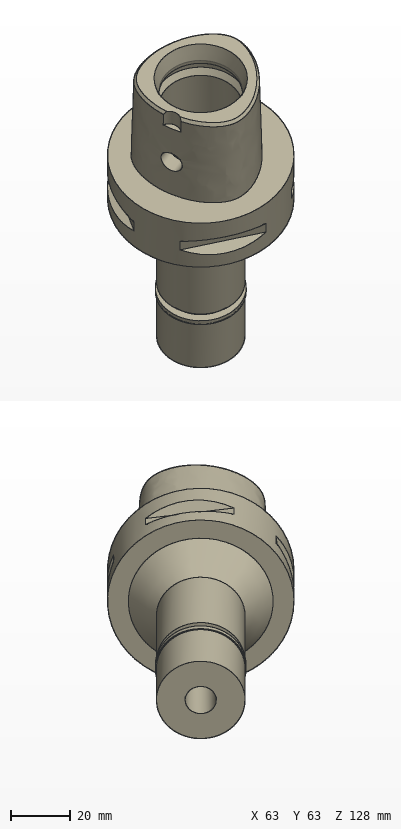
import cadquery as cq
import math

nut_body_top = 21.9
nut_top = 23.8
neck_top = 26.8
barrel_top = 58.1
flange_bottom = 68.1
flange_top = 90.0
shank_top = 128.0
chamfer_height = 1.2

nut_radius = 15.0
nut_collar_radius = 15.4
neck_radius = 12.5
barrel_radius = 15.0
cone_top_radius = 24.5
flange_radius = 31.5

shank_base_radius = 22.1
shank_shoulder_radius = 21.2
shank_rim_radius = 20.4
lobe_height = 1.4
outline_steps = 24

mouth_radius = 15.7
bore_radius = 14.1
mouth_depth = 6.4
lip_end_depth = 7.8
undercut_radius = 15.7
undercut_end_depth = 11.5
undercut_run_out_depth = 13.8
bore_depth = 41.0

collet_passage_radius = 9.1
nut_hole_radius = 5.2

keyway_radius = 4.1
keyway_wall_y = -17.9
keyway_depth = 6.3
cross_hole_radius = 4.1
cross_hole_z = 105.6
cross_hole_end_y = -14.6

groove_count = 4
groove_first_angle = 45.0
groove_z = 78.0
groove_floor_distance = 27.6
groove_floor_height = 4.2
groove_flank_angle = 27.0


def revolve_profile(points):
    """Solid of revolution about Z from (radius, height) points."""
    return cq.Workplane("XZ").polyline(points).close().revolve(360, (0, 0, 0), (0, 1, 0))


def lobed_point(mean_radius, angle, z):
    """Point on a three-lobed curve of constant width, with angle 0 facing -Y."""
    x = mean_radius * math.sin(angle)
    x += lobe_height * (2 * math.sin(2 * angle) + math.sin(4 * angle))
    y = -mean_radius * math.cos(angle)
    y += lobe_height * (2 * math.cos(2 * angle) - math.cos(4 * angle))
    return cq.Vector(x, y, z)


def lobed_wire(mean_radius, z):
    """Closed smooth three-lobed outline with one lobe toward +Y."""
    points = []
    for index in range(outline_steps):
        angle = 2 * math.pi * index / outline_steps
        points.append(lobed_point(mean_radius, angle, z))
    return cq.Wire.assembleEdges([cq.Edge.makeSpline(points, periodic=True)])


def make_shank():
    shoulder_z = shank_top - chamfer_height
    base = lobed_wire(shank_base_radius, flange_top)
    shoulder = lobed_wire(shank_shoulder_radius, shoulder_z)
    rim = lobed_wire(shank_rim_radius, shank_top)
    return cq.Workplane(cq.Solid.makeLoft([base, shoulder, rim], True))


def make_turned_body():
    return revolve_profile([
        (0, nut_top),
        (neck_radius, nut_top),
        (neck_radius, neck_top),
        (barrel_radius, neck_top),
        (barrel_radius, barrel_top),
        (cone_top_radius, flange_bottom),
        (flange_radius, flange_bottom),
        (flange_radius, flange_top),
        (0, flange_top),
    ])


def make_bore():
    bore_floor = shank_top - bore_depth
    return revolve_profile([
        (0, shank_top),
        (mouth_radius, shank_top),
        (bore_radius, shank_top - mouth_depth),
        (bore_radius, shank_top - lip_end_depth),
        (undercut_radius, shank_top - lip_end_depth),
        (undercut_radius, shank_top - undercut_end_depth),
        (bore_radius, shank_top - undercut_run_out_depth),
        (bore_radius, bore_floor),
        (collet_passage_radius, bore_floor),
        (collet_passage_radius, nut_top),
        (0, nut_top),
    ])


def make_keyway():
    keyway_floor = shank_top - keyway_depth
    center_y = keyway_wall_y - keyway_radius
    floor_plane = cq.Workplane("XY", origin=(0, center_y, keyway_floor))
    return floor_plane.circle(keyway_radius).extrude(keyway_depth)


def make_cross_hole():
    start = cq.Workplane("XZ", origin=(0, cross_hole_end_y, cross_hole_z))
    return start.circle(cross_hole_radius).extrude(flange_radius + cross_hole_end_y)


def make_gripper_groove(angle):
    """Straight trapezoidal groove that widens outward, at the given angle about Z."""
    depth = flange_radius - groove_floor_distance
    floor_half = groove_floor_height / 2
    mouth_half = floor_half + depth * math.tan(math.radians(groove_flank_angle))
    section = cq.Workplane("XZ").polyline([
        (groove_floor_distance, groove_z - floor_half),
        (flange_radius, groove_z - mouth_half),
        (flange_radius, groove_z + mouth_half),
        (groove_floor_distance, groove_z + floor_half),
    ]).close()
    groove = section.extrude(flange_radius, both=True)
    return groove.rotate((0, 0, 0), (0, 0, 1), angle)


def make_holder():
    body = make_turned_body().union(make_shank())
    body = body.cut(make_bore()).cut(make_keyway()).cut(make_cross_hole())
    for index in range(groove_count):
        angle = groove_first_angle + index * 360 / groove_count
        body = body.cut(make_gripper_groove(angle))
    return body


def make_nut():
    """Clamping nut seated against the end of the neck, with a through hole."""
    return revolve_profile([
        (nut_hole_radius, 0),
        (nut_radius, 0),
        (nut_radius, nut_body_top),
        (nut_collar_radius, nut_body_top),
        (nut_collar_radius, nut_top),
        (nut_hole_radius, nut_top),
    ])


holder = make_holder()
nut = make_nut()
result = cq.Compound.makeCompound([holder.solids().val(), nut.val()])